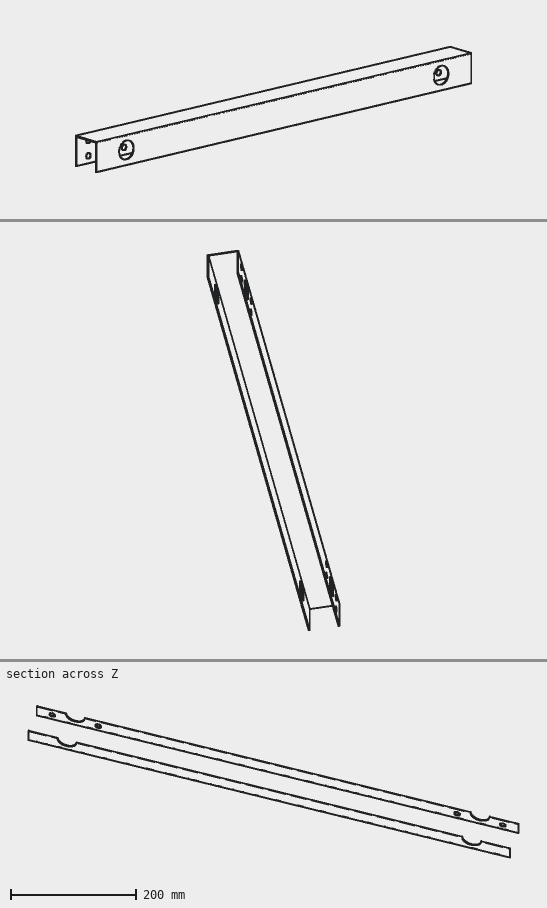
import cadquery as cq

length = 800.0
width = 50.0
height = 50.0
wall = 2.0

group_inset = 64.0
large_diameter = 31.0
small_diameter = 10.0
small_spacing_y = 76.0
small_spacing_z = 26.0

outer_face_x = -width / 2
group_offset = length / 2 - group_inset
group_centers = [(-group_offset, 0), (group_offset, 0)]


def make_channel():
    """Block centred on the origin with its inside removed below the top web."""
    block = cq.Workplane("XY").box(width, length, height)
    inside = cq.Workplane("XY").box(width - 2 * wall, length, height)
    return block.cut(inside.translate((0, 0, -wall)))


def cross_holes(centers, diameter, depth):
    """Cylinders along +X, starting at the outer face of the -X wall."""
    plane = cq.Workplane("YZ", origin=(outer_face_x, 0, 0))
    return plane.pushPoints(centers).circle(diameter / 2).extrude(depth)


small_centers = [
    (group_y + side_y * small_spacing_y / 2, group_z + side_z * small_spacing_z / 2)
    for group_y, group_z in group_centers
    for side_y in (-1, 1)
    for side_z in (-1, 1)
]

result = make_channel()
result = result.cut(cross_holes(group_centers, large_diameter, width))
result = result.cut(cross_holes(small_centers, small_diameter, wall))